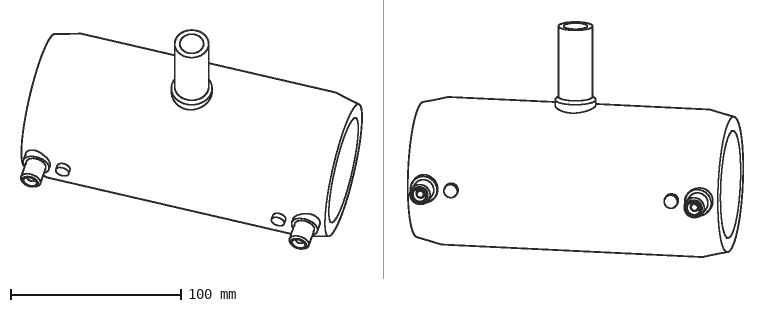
import cadquery as cq

length = 185.5
body_radius = 87.0 / 2
end_radius = 39.9
taper_length = 14.8
socket_radius = 63.0 / 2
stop_radius = 59.2 / 2
stop_width = 37.1

branch_top = 135.0 - body_radius
branch_radius = 20.0 / 2
branch_bore_radius = 14.0 / 2
collar_radius = 24.0 / 2
collar_top = 48.8
collar_chamfer = 1.9

terminal_x = 82.0
terminal_reach = 102.0 - body_radius
terminal_radius = 12.0 / 2
terminal_chamfer = 1.1
terminal_base_radius = 16.0 / 2
terminal_base_reach = 45.8
terminal_hole_radius = 8.0 / 2
terminal_hole_depth = 11.1
contact_radius = 5.0 / 2
contact_recess = 1.9
contact_chamfer = 0.5
stud_x = 65.9
stud_radius = 8.0 / 2
stud_reach = 46.4

root = (socket_radius + end_radius) / 2


def make_sleeve():
    half = length / 2
    shoulder = half - taper_length
    outline = [
        (-half, 0),
        (-half, end_radius),
        (-shoulder, body_radius),
        (shoulder, body_radius),
        (half, end_radius),
        (half, 0),
    ]
    return cq.Workplane("XY").polyline(outline).close().revolve(360, (0, 0, 0), (1, 0, 0))


def make_bore():
    """Through bore, widened into a pipe socket on each side of a central stop."""
    bore = cq.Workplane("YZ").circle(stop_radius).extrude(length / 2, both=True)
    for side in (-1, 1):
        socket = (
            cq.Workplane("YZ", origin=(side * stop_width / 2, 0, 0))
            .circle(socket_radius)
            .extrude(side * (length - stop_width) / 2)
        )
        bore = bore.union(socket)
    return bore


def upright_cylinder(radius, bottom, top):
    return cq.Workplane("XY", origin=(0, 0, bottom)).circle(radius).extrude(top - bottom)


def front_cylinder(x, radius, start, end):
    """Cylinder pointing to -Y, between two distances from the sleeve axis."""
    return cq.Workplane("XZ", origin=(x, -start, 0)).circle(radius).extrude(end - start)


def make_branch():
    collar = upright_cylinder(collar_radius, root, collar_top).faces(">Z").edges().chamfer(collar_chamfer)
    return collar.union(upright_cylinder(branch_radius, root, branch_top))


def make_terminal(x):
    """Hollow shroud on a round base, with a contact pin standing in its hole."""
    shroud = front_cylinder(x, terminal_radius, root, terminal_reach)
    shroud = shroud.faces("<Y").edges().chamfer(terminal_chamfer)
    base = front_cylinder(x, terminal_base_radius, root, terminal_base_reach)
    hole_floor = terminal_reach - terminal_hole_depth
    hole = front_cylinder(x, terminal_hole_radius, hole_floor, terminal_reach)
    contact = front_cylinder(x, contact_radius, root, terminal_reach - contact_recess)
    contact = contact.faces("<Y").edges().chamfer(contact_chamfer)
    return shroud.union(base).cut(hole).union(contact)


body = make_sleeve().cut(make_bore()).union(make_branch())
for side in (-1, 1):
    body = body.union(make_terminal(side * terminal_x))
    body = body.union(front_cylinder(side * stud_x, stud_radius, root, stud_reach))

result = body.cut(upright_cylinder(branch_bore_radius, 0, branch_top))